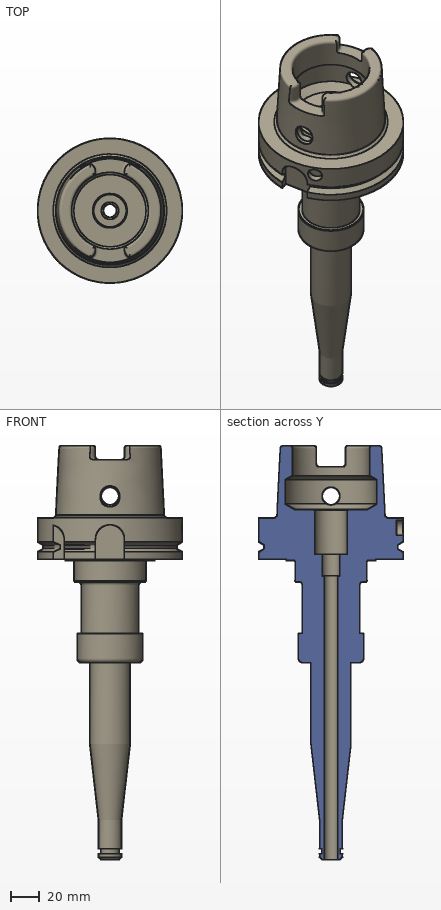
import cadquery as cq
import math

ARC_GAP = 1 - math.sqrt(0.5)


taper_top_z = 50.0
taper_base_dia = 75.0
taper_slope = 0.05
taper_base_z = 2.2
base_relief_dia = 78.4
base_neck_dia = 74.4
base_neck_z = 1.7

flange_dia = 100.0
flange_bottom_z = -28.6
groove_center_z = -20.0
groove_floor_dia = 92.6
groove_floor_width = 2.6
groove_corner_round = 0.7
groove_flank_angle = 30.0
face_pad_dia = 62.0
face_pad_height = 0.8
pad_fillet = 0.8

shoulder_dia = 50.0
shoulder_bottom_z = -44.2
shoulder_chamfer = 0.8
upper_shaft_dia = 40.0
upper_shaft_fillet = 2.2
collar_dia = 45.4
collar_top_z = -79.5
collar_bottom_z = -100.0
collar_top_chamfer = 0.5
collar_round = 3.0
lower_shaft_dia = 28.0
cone_top_z = -156.0
cone_bottom_z = -208.5
tip_dia = 16.0
tip_groove_dia = 13.0
tip_groove_top_z = -228.4
tip_groove_bottom_z = -231.6
tip_chamfer = 2.0
tip_bottom_z = -236.0

bore_dia = 53.0
clamp_shoulder_z = 29.2
undercut_dia = 63.0
undercut_angle = 30.0
cavity_floor_z = 5.9
cavity_floor_dia = 49.8
tube_seat_mouth_dia = 23.8
tube_seat_dia = 22.38
tube_seat_floor_z = -25.0
coolant_entry_dia = 12.0
coolant_entry_floor_z = -40.0
coolant_dia = 9.0

cross_hole_z = 15.1
cross_hole_dia = 12.0
cross_hole_sink_dia = 14.8

rim_slot_half_width = 10.0
rim_slot_flare_radius = 6.0
rim_slot_flare_start = 27.0
front_rim_slot_z = 40.3
back_rim_slot_z = 35.4
rim_slot_floor_fillet = 2.0
rim_edge_round = 2.0

keyway_width = 20.0
keyway_floor_y = 44.0
keyway_center_z = -14.7
notch_center_x = -41.6
notch_floor_y = 31.2

rim_hole_z = -6.6
rim_hole_depth = 4.6
rim_hole_dia = 10.0
chip_hole_angle = 0.0
side_hole_angle = 108.0


def taper_radius(z):
    return taper_base_dia / 2 - taper_slope * (z - taper_base_z)


def body():
    """Outside of the part, turned about Z."""
    flange_radius = flange_dia / 2
    groove_radius = groove_floor_dia / 2
    groove_half_floor = groove_floor_width / 2
    groove_half_mouth = groove_half_floor + (flange_radius - groove_radius) * math.tan(
        math.radians(groove_flank_angle)
    )
    pad_bottom_z = flange_bottom_z - face_pad_height
    shoulder_radius = shoulder_dia / 2
    upper_radius = upper_shaft_dia / 2
    collar_radius = collar_dia / 2
    lower_radius = lower_shaft_dia / 2
    tip_radius = tip_dia / 2
    tip_groove_radius = tip_groove_dia / 2
    pad_fillet_gap = pad_fillet * ARC_GAP
    shaft_fillet_gap = upper_shaft_fillet * ARC_GAP
    collar_gap = collar_round * ARC_GAP

    profile = (
        cq.Workplane("XZ")
        .moveTo(0, taper_top_z)
        .lineTo(taper_radius(taper_top_z), taper_top_z)
        .lineTo(taper_base_dia / 2, taper_base_z)
        .lineTo(base_neck_dia / 2, base_neck_z)
        .lineTo(base_relief_dia / 2, 0)
        .lineTo(flange_radius, 0)
        .lineTo(flange_radius, groove_center_z + groove_half_mouth)
        .lineTo(groove_radius, groove_center_z + groove_half_floor)
        .lineTo(groove_radius, groove_center_z - groove_half_floor)
        .lineTo(flange_radius, groove_center_z - groove_half_mouth)
        .lineTo(flange_radius, flange_bottom_z)
        .lineTo(face_pad_dia / 2, flange_bottom_z)
        .lineTo(face_pad_dia / 2, pad_bottom_z)
        .lineTo(shoulder_radius + pad_fillet, pad_bottom_z)
        .threePointArc(
            (shoulder_radius + pad_fillet_gap, pad_bottom_z - pad_fillet_gap),
            (shoulder_radius, pad_bottom_z - pad_fillet),
        )
        .lineTo(shoulder_radius, shoulder_bottom_z + shoulder_chamfer)
        .lineTo(shoulder_radius - shoulder_chamfer, shoulder_bottom_z)
        .lineTo(upper_radius + upper_shaft_fillet, shoulder_bottom_z)
        .threePointArc(
            (upper_radius + shaft_fillet_gap, shoulder_bottom_z - shaft_fillet_gap),
            (upper_radius, shoulder_bottom_z - upper_shaft_fillet),
        )
        .lineTo(upper_radius, collar_top_z)
        .lineTo(collar_radius - collar_top_chamfer, collar_top_z)
        .lineTo(collar_radius, collar_top_z - collar_top_chamfer)
        .lineTo(collar_radius, collar_bottom_z + collar_round)
        .threePointArc(
            (collar_radius - collar_gap, collar_bottom_z + collar_gap),
            (collar_radius - collar_round, collar_bottom_z),
        )
        .lineTo(lower_radius, collar_bottom_z)
        .lineTo(lower_radius, cone_top_z)
        .lineTo(tip_radius, cone_bottom_z)
        .lineTo(tip_radius, tip_groove_top_z)
        .lineTo(tip_groove_radius, tip_groove_top_z)
        .lineTo(tip_groove_radius, tip_groove_bottom_z)
        .lineTo(tip_radius, tip_groove_bottom_z)
        .lineTo(tip_radius, tip_bottom_z + tip_chamfer)
        .lineTo(tip_radius - tip_chamfer, tip_bottom_z)
        .lineTo(0, tip_bottom_z)
        .close()
    )
    turned = profile.revolve(360, (0, 0, 0), (0, 1, 0))
    groove_floor_edges = cq.selectors.BoxSelector(
        (-groove_radius / 2, -groove_radius / 2, groove_center_z - groove_floor_width),
        (groove_radius / 2, groove_radius / 2, groove_center_z + groove_floor_width),
    )
    return turned.edges(groove_floor_edges).fillet(groove_corner_round)


def bores():
    """Space inside the part, turned about Z."""
    bore_radius = bore_dia / 2
    undercut_radius = undercut_dia / 2
    floor_radius = cavity_floor_dia / 2
    mouth_radius = tube_seat_mouth_dia / 2
    seat_radius = tube_seat_dia / 2
    entry_radius = coolant_entry_dia / 2
    coolant_radius = coolant_dia / 2
    cone_rise = math.tan(math.radians(undercut_angle))
    shoulder_drop = (undercut_radius - bore_radius) * cone_rise
    floor_rise = (undercut_radius - floor_radius) * cone_rise

    profile = (
        cq.Workplane("XZ")
        .moveTo(0, taper_top_z)
        .lineTo(bore_radius, taper_top_z)
        .lineTo(bore_radius, clamp_shoulder_z)
        .lineTo(undercut_radius, clamp_shoulder_z - shoulder_drop)
        .lineTo(undercut_radius, cavity_floor_z + floor_rise)
        .lineTo(floor_radius, cavity_floor_z)
        .lineTo(mouth_radius, cavity_floor_z)
        .lineTo(seat_radius, cavity_floor_z - (mouth_radius - seat_radius))
        .lineTo(seat_radius, tube_seat_floor_z)
        .lineTo(entry_radius, tube_seat_floor_z)
        .lineTo(entry_radius, coolant_entry_floor_z)
        .lineTo(coolant_radius, coolant_entry_floor_z)
        .lineTo(coolant_radius, tip_bottom_z)
        .lineTo(0, tip_bottom_z)
        .close()
    )
    return profile.revolve(360, (0, 0, 0), (0, 1, 0))


def cross_hole():
    """Hole along Y through both taper walls, countersunk on the outside."""
    wall_radius = taper_radius(cross_hole_z)
    sink_depth = (cross_hole_sink_dia - cross_hole_dia) / 2
    plane = cq.Workplane("XZ", origin=(0, 0, cross_hole_z))
    hole = plane.circle(cross_hole_dia / 2).extrude(wall_radius, both=True)
    sink = (
        cq.Workplane("XY")
        .moveTo(0, wall_radius - sink_depth)
        .lineTo(cross_hole_dia / 2, wall_radius - sink_depth)
        .lineTo(cross_hole_sink_dia / 2, wall_radius)
        .lineTo(cross_hole_sink_dia / 2, taper_base_dia / 2)
        .lineTo(0, taper_base_dia / 2)
        .close()
        .revolve(360, (0, 0, 0), (0, 1, 0))
        .translate((0, 0, cross_hole_z))
    )
    return hole.union(sink).union(sink.mirror("XZ"))


def rim_slot(floor_z):
    """Slot across the rim on the -Y side, flaring outward, rounded along its floor."""
    flare_end_y = -(rim_slot_flare_start + rim_slot_flare_radius)
    flare_half_width = rim_slot_half_width + rim_slot_flare_radius
    arc_gap = rim_slot_flare_radius * ARC_GAP
    arc_mid_x = rim_slot_half_width + arc_gap
    arc_mid_y = flare_end_y + arc_gap
    outer = taper_base_dia / 2
    slot = (
        cq.Workplane("XY", origin=(0, 0, floor_z))
        .moveTo(-rim_slot_half_width, 0)
        .lineTo(-rim_slot_half_width, -rim_slot_flare_start)
        .threePointArc((-arc_mid_x, arc_mid_y), (-flare_half_width, flare_end_y))
        .lineTo(-outer, flare_end_y)
        .lineTo(-outer, -outer)
        .lineTo(outer, -outer)
        .lineTo(outer, flare_end_y)
        .lineTo(flare_half_width, flare_end_y)
        .threePointArc((arc_mid_x, arc_mid_y), (rim_slot_half_width, -rim_slot_flare_start))
        .lineTo(rim_slot_half_width, 0)
        .close()
        .extrude(taper_top_z - floor_z)
    )
    arc_feet = slot.faces("<Z").edges("%CIRCLE")
    return arc_feet.fillet(rim_slot_floor_fillet)


def keyway(center_x, floor_y):
    """Round-topped keyway on the -Y side, open at the flange bottom."""
    radius = keyway_width / 2
    return (
        cq.Workplane("XZ", origin=(0, -floor_y, 0))
        .moveTo(center_x - radius, flange_bottom_z)
        .lineTo(center_x - radius, keyway_center_z)
        .threePointArc((center_x, keyway_center_z + radius), (center_x + radius, keyway_center_z))
        .lineTo(center_x + radius, flange_bottom_z)
        .close()
        .extrude(flange_dia / 2)
    )


def rim_hole(angle):
    """Blind radial hole in the flange rim."""
    hole = cq.Workplane("YZ", origin=(flange_dia / 2 - rim_hole_depth, 0, rim_hole_z))
    return hole.circle(rim_hole_dia / 2).extrude(flange_dia / 2).rotate((0, 0, 0), (0, 0, 1), angle)


def turned_half(tool):
    return tool.rotate((0, 0, 0), (0, 0, 1), 180)


shank = (
    body()
    .cut(bores())
    .cut(rim_slot(front_rim_slot_z))
    .cut(turned_half(rim_slot(back_rim_slot_z)))
    .faces(">Z")
    .edges()
    .fillet(rim_edge_round)
)

result = (
    shank.cut(cross_hole())
    .cut(keyway(0, keyway_floor_y))
    .cut(turned_half(keyway(0, keyway_floor_y)))
    .cut(keyway(notch_center_x, notch_floor_y))
    .cut(rim_hole(chip_hole_angle))
    .cut(rim_hole(side_hole_angle))
)